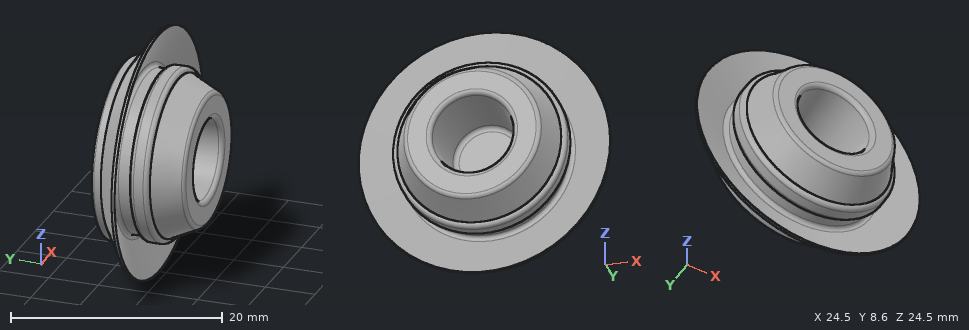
import cadquery as cq
import math

LENGTH = 8.6
ROUND = 0.5

NOSE_RADIUS = 6.57
NOSE_HALF_ANGLE = 25.0

RING_RADIUS = 8.5
RING_FRONT = 3.01
RING_BACK = 4.97
NECK_RADIUS = RING_RADIUS - ROUND

RIM_RADIUS = 12.25
RIM_FRONT = 5.0
RIM_WIDTH = 0.32
SKIRT_INNER_SLOPE = 22.0
SKIRT_ROOT_ROUND = 0.37
DISC_RADIUS = 8.97
DISC_FRONT = 7.6
DISC_ROUND = 0.3

BORE_MOUTH_RADIUS = 4.0
BORE_FLOOR_RADIUS = 3.4
FLOOR_THICKNESS = 1.47
BORE_DEPTH = LENGTH - FLOOR_THICKNESS


def revolve(profile):
    """Turn a closed (radius, y) profile about the Y axis."""
    return profile.revolve(360, (0, 0, 0), (0, 1, 0))


def edge_at(radius, y):
    """Select the circular edge with this radius and axial position."""
    margin = 0.002
    outer = radius + margin
    inner = radius - margin
    return cq.selectors.BoxSelector(
        (-outer, y - margin, -outer), (outer, y + margin, outer), boundingbox=True
    ) - cq.selectors.BoxSelector(
        (-inner, y - margin, -inner), (inner, y + margin, inner), boundingbox=True
    )


def make_body():
    rim_back = RIM_FRONT + RIM_WIDTH
    skirt_depth = (RIM_RADIUS - NECK_RADIUS) * math.tan(math.radians(SKIRT_INNER_SLOPE))
    skirt_root = RIM_FRONT + skirt_depth
    nose_end_radius = NOSE_RADIUS + RING_FRONT * math.tan(math.radians(NOSE_HALF_ANGLE))

    profile = (
        cq.Workplane("XY")
        .moveTo(0, 0)
        .lineTo(NOSE_RADIUS, 0)
        .lineTo(nose_end_radius, RING_FRONT)
        .lineTo(NECK_RADIUS, RING_FRONT)
        .radiusArc((RING_RADIUS, RING_FRONT + ROUND), -ROUND)
        .lineTo(RING_RADIUS, RING_BACK - ROUND)
        .radiusArc((NECK_RADIUS, RING_BACK), -ROUND)
        .lineTo(NECK_RADIUS, skirt_root)
        .lineTo(RIM_RADIUS, RIM_FRONT)
        .lineTo(RIM_RADIUS, rim_back)
        .lineTo(DISC_RADIUS, DISC_FRONT)
        .lineTo(DISC_RADIUS, LENGTH)
        .lineTo(0, LENGTH)
        .close()
    )
    body = revolve(profile)
    body = body.edges(edge_at(NOSE_RADIUS, 0)).fillet(ROUND)
    body = body.edges(edge_at(NECK_RADIUS, skirt_root)).fillet(SKIRT_ROOT_ROUND)
    return body.edges(edge_at(DISC_RADIUS, LENGTH)).fillet(DISC_ROUND)


def make_bore():
    profile = (
        cq.Workplane("XY")
        .moveTo(0, 0)
        .lineTo(BORE_MOUTH_RADIUS, 0)
        .lineTo(BORE_FLOOR_RADIUS, BORE_DEPTH)
        .lineTo(0, BORE_DEPTH)
        .close()
    )
    bore = revolve(profile)
    return bore.edges(edge_at(BORE_FLOOR_RADIUS, BORE_DEPTH)).fillet(ROUND)


result = make_body().cut(make_bore())
result = result.edges(edge_at(BORE_MOUTH_RADIUS, 0)).fillet(ROUND)